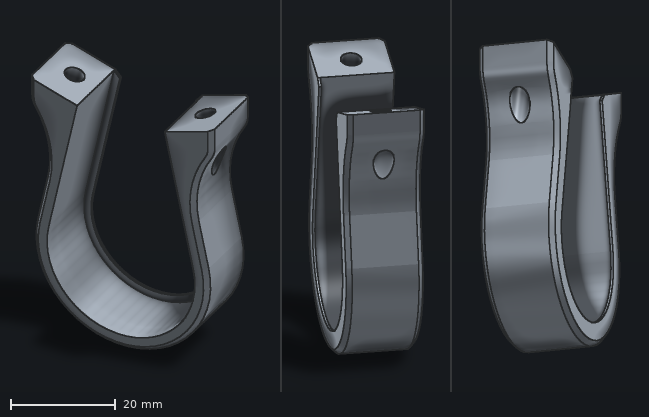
import cadquery as cq
import math

height = 55.0
head_width = 40.05
depth = 15.0
outer_radius = 19.1
bore_radius = 16.15
lip_radius = 14.65
lip_thickness = 0.5
leg_angle = math.radians(12)
head_inner_z = 51.75
lip_top_z = 50.3
neck_start_z = 33.1
neck_radius = 20.0
shoulder_radius = 5.0
edge_chamfer = 1.0
hole_diameter = 4.0
hole_x = 14.3

half_width = head_width / 2
ring_z = outer_radius


def tangent_point(radius):
    """Point where a ring of this radius meets its straight right leg."""
    return (radius * math.cos(leg_angle), ring_z + radius * math.sin(leg_angle))


def leg_point(radius, z):
    """Point at height z on the right leg tangent to a ring of this radius."""
    x = (radius - (z - ring_z) * math.sin(leg_angle)) / math.cos(leg_angle)
    return (x, z)


def arc_point(center, radius, angle):
    return (center[0] + radius * math.cos(angle), center[1] + radius * math.sin(angle))


def mirrored(point):
    return (-point[0], point[1])


back_plane = cq.Workplane("XZ", origin=(0, depth / 2, 0))

neck_start = leg_point(outer_radius, neck_start_z)
neck_center = arc_point(neck_start, neck_radius, leg_angle)
shoulder_x = half_width - shoulder_radius
shoulder_rise = math.sqrt((neck_radius + shoulder_radius) ** 2 - (neck_center[0] - shoulder_x) ** 2)
shoulder_center = (shoulder_x, neck_center[1] + shoulder_rise)
shoulder_angle = math.atan2(-shoulder_rise, neck_center[0] - shoulder_x)
neck_end = arc_point(shoulder_center, shoulder_radius, shoulder_angle)
neck_end_angle = math.pi + shoulder_angle
neck_mid = arc_point(neck_center, neck_radius, (math.pi + leg_angle + neck_end_angle) / 2)
shoulder_mid = arc_point(shoulder_center, shoulder_radius, shoulder_angle / 2)
shoulder_end = (half_width, shoulder_center[1])

head_outer = (half_width, height)
head_inner = leg_point(bore_radius, head_inner_z)
head_slope = math.atan2(height - head_inner_z, half_width - head_inner[0])


def make_band():
    """Open ring with two leaning legs and widened heads, outer rims chamfered."""
    outer_tangent = tangent_point(outer_radius)
    bore_tangent = tangent_point(bore_radius)
    band = (
        back_plane
        .moveTo(*outer_tangent)
        .lineTo(*neck_start)
        .threePointArc(neck_mid, neck_end)
        .threePointArc(shoulder_mid, shoulder_end)
        .lineTo(*head_outer)
        .lineTo(*head_inner)
        .lineTo(*bore_tangent)
        .threePointArc((0, ring_z - bore_radius), mirrored(bore_tangent))
        .lineTo(*mirrored(head_inner))
        .lineTo(*mirrored(head_outer))
        .lineTo(*mirrored(shoulder_end))
        .threePointArc(mirrored(shoulder_mid), mirrored(neck_end))
        .threePointArc(mirrored(neck_mid), mirrored(neck_start))
        .lineTo(*mirrored(outer_tangent))
        .threePointArc((0, ring_z - outer_radius), outer_tangent)
        .close()
        .extrude(depth)
    )
    for face in (">Y", "<Y"):
        band = band.faces(face).edges("<Z").chamfer(edge_chamfer)
    return band


def make_lip():
    """Thin inward lip along the back edge of the bore and legs."""
    bore_tangent = tangent_point(bore_radius)
    lip_tangent = tangent_point(lip_radius)
    lip_top = leg_point(lip_radius, lip_top_z)
    return (
        back_plane
        .moveTo(*bore_tangent)
        .lineTo(*head_inner)
        .lineTo(*lip_top)
        .lineTo(*lip_tangent)
        .threePointArc((0, ring_z - lip_radius), mirrored(lip_tangent))
        .lineTo(*mirrored(lip_top))
        .lineTo(*mirrored(head_inner))
        .lineTo(*mirrored(bore_tangent))
        .threePointArc((0, ring_z - bore_radius), bore_tangent)
        .close()
        .extrude(lip_thickness)
    )


def make_hole(side):
    """Screw hole square to the sloping head face, leaving through the neck."""
    hole_z = height - (half_width - hole_x) * math.tan(head_slope)
    axis = cq.Vector(side * math.sin(head_slope), 0, -math.cos(head_slope))
    start = cq.Vector(side * hole_x, 0, hole_z) - axis * hole_diameter
    return cq.Solid.makeCylinder(hole_diameter / 2, height / 2, start, axis)


result = make_band().union(make_lip())
for side in (-1, 1):
    result = result.cut(make_hole(side))